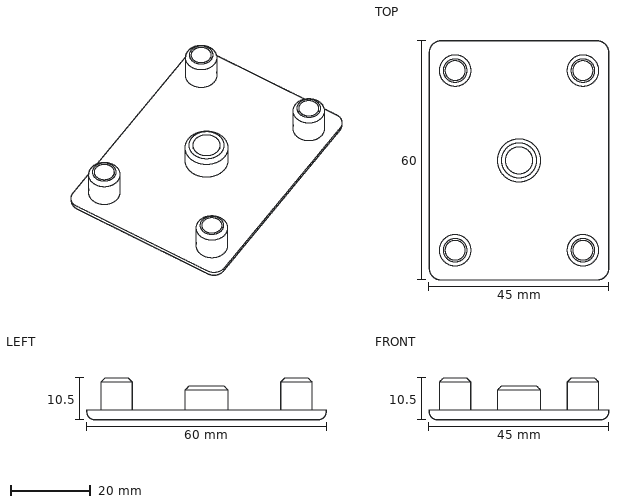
import cadquery as cq

plate_width = 45.0
plate_length = 60.0
plate_thickness = 2.5
plate_corner_radius = 3.0
plate_bottom_fillet = 2.0

post_diameter = 7.9
post_height = 8.0
post_bore_diameter = 5.0
post_spacing_x = 32.0
post_spacing_y = 45.0

boss_diameter = 10.8
boss_height = 6.0
boss_bore_diameter = 6.8

rim_chamfer = 1.0
bore_floor_fillet = 2.0


def make_plate():
    """Rounded rectangular plate with its lower edge rounded over."""
    return (
        cq.Workplane("XY")
        .rect(plate_width, plate_length)
        .extrude(plate_thickness)
        .edges("|Z")
        .fillet(plate_corner_radius)
        .faces("<Z")
        .edges()
        .fillet(plate_bottom_fillet)
    )


def make_socket(diameter, height, bore_diameter):
    """Chamfered cylinder on the plate, with a blind bore down to the plate's top face."""
    cylinder = (
        cq.Workplane("XY")
        .circle(diameter / 2)
        .extrude(height)
        .faces(">Z")
        .edges()
        .chamfer(rim_chamfer)
    )
    bore = (
        cq.Workplane("XY")
        .circle(bore_diameter / 2)
        .extrude(height)
        .faces("<Z")
        .edges()
        .fillet(bore_floor_fillet)
    )
    return cylinder.cut(bore).translate((0, 0, plate_thickness))


result = make_plate()
result = result.union(make_socket(boss_diameter, boss_height, boss_bore_diameter))

post = make_socket(post_diameter, post_height, post_bore_diameter)
for side_x in (-1, 1):
    for side_y in (-1, 1):
        post_center = (side_x * post_spacing_x / 2, side_y * post_spacing_y / 2, 0)
        result = result.union(post.translate(post_center))